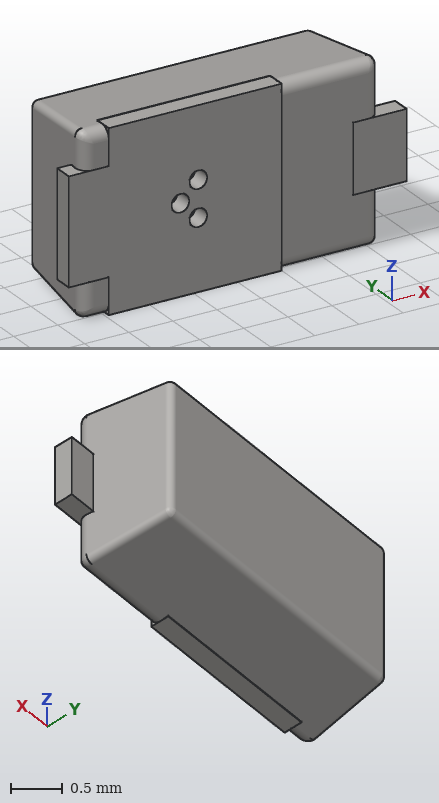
import cadquery as cq
import math


total_length = 3.83

housing_length = 3.37
housing_width = 2.0
housing_height = 1.14
housing_center_x = 1.84
skirt_height = 0.138
top_inset = 0.1
base_fillet = 0.125
edge_fillet = 0.075

terminal_thickness = 0.22
wide_tab_width = 1.187
wide_shoulder_x = 0.452
wide_end_x = 2.413
narrow_start_x = 3.22
narrow_width = 0.775

hole_diameter = 0.2
hole_spacing = 0.203
lone_hole_x = 1.265
hole_points = [
    (lone_hole_x, 0),
    (lone_hole_x + hole_spacing, hole_spacing),
    (lone_hole_x + hole_spacing, -hole_spacing),
]


def plate(x_start, x_end, width):
    """Rectangular plate rising from the mounting face, centered on Z."""
    return cq.Workplane("XY").box(
        x_end - x_start, terminal_thickness, width, centered=(False, False, True)
    ).translate((x_start, 0, 0))


def wide_terminal_blank():
    """Wide pad with its narrower end tab, before the holes are made."""
    pad = plate(wide_shoulder_x, wide_end_x, housing_width)
    tab = plate(0, wide_shoulder_x, wide_tab_width)
    return pad.union(tab)


def make_wide_terminal():
    holes = (
        cq.Workplane("XZ")
        .pushPoints(hole_points)
        .circle(hole_diameter / 2)
        .extrude(-terminal_thickness)
    )
    return wide_terminal_blank().cut(holes)


def make_narrow_terminal():
    return plate(narrow_start_x, total_length, narrow_width)


def make_housing():
    """Drafted, rounded block with recesses that fit both terminals."""
    sloped_height = housing_height - skirt_height
    draft_angle = math.degrees(math.atan(top_inset / sloped_height))
    base = cq.Workplane("XZ", origin=(housing_center_x, 0, 0))

    skirt = base.rect(housing_length, housing_width).extrude(-skirt_height)
    skirt = skirt.faces("<Y").edges().fillet(base_fillet)
    skirt = skirt.edges("|Y").fillet(edge_fillet)

    upper = (
        base.workplane(offset=-skirt_height)
        .rect(housing_length, housing_width)
        .extrude(-sloped_height, taper=draft_angle)
    )
    upper = upper.edges("not(#Y)").fillet(edge_fillet)
    upper = upper.faces(">Y").edges().fillet(edge_fillet)
    block = skirt.union(upper)

    return block.cut(wide_terminal_blank()).cut(make_narrow_terminal())


housing = make_housing()
wide_terminal = make_wide_terminal()
narrow_terminal = make_narrow_terminal()

result = cq.Compound.makeCompound(
    [housing.val(), wide_terminal.val(), narrow_terminal.val()]
)